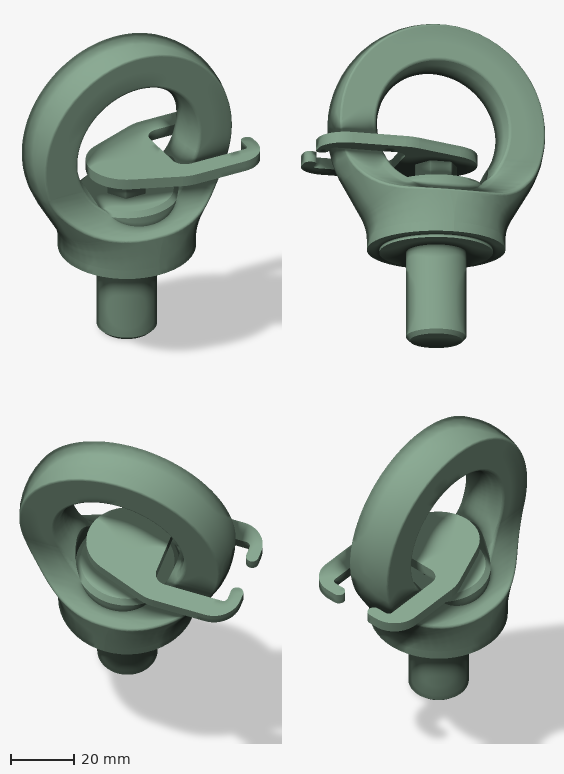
import cadquery as cq
import math


shank_diameter = 19.2
tip_chamfer = 1.2
flange_bottom_z = 29.0
flange_radius = 18.0
washer_radius = 16.5
washer_top_z = 50.6
washer_seat_z = 41.5
washer_chamfer = 1.6
hex_corner_radius = 6.9
hex_edge_fillet = 0.5

collar_bottom_z = 30.0
collar_top_z = 33.1
collar_radius = 22.0
neck_radius = 14.5

ring_top_z = 103.7
ring_outer_radius = 35.0
ring_center_z = ring_top_z - ring_outer_radius
ring_width = 16.1
ring_half_width = ring_width / 2
ring_edge_fillet = 0.7
eye_radius = 20.0
eye_mouth_radius = 22.1
eye_edge_fillet = 0.9

tolerance = 0.01

plate_bottom_z = 57.7
plate_thickness = 3.5
plate_width = 37.9
plate_half_width = plate_width / 2
plate_end_radius = 13.1
plate_back_y = 41.4
plate_corner_radius = 8.8
shoulder_y = 12.7
shoulder_fillet = 12.2
slot_half_width = 12.0
slot_floor_y = 12.4
slot_floor_radius = 4.4
hook_width = 4.0
hook_inner_radius = 1.5
hook_gap_half_width = 5.4

hollow_radius = 14.5
hollow_center_x = ring_half_width + hollow_radius
hollow_center_z = 58.7
hollow_end_x = 19.2


def polar(center, radius, angle):
    """Point at the given distance and angle (radians) from a centre."""
    return (center[0] + radius * math.cos(angle), center[1] + radius * math.sin(angle))


def make_neck():
    """Round section swept up one side of the collar until it is tangent to the ring."""
    ring_center = (0, ring_center_z)
    arc_center = (collar_radius + neck_radius, collar_top_z)
    run = arc_center[0] - ring_center[0]
    rise = arc_center[1] - ring_center[1]
    flank_normal = math.atan2(rise, run) + math.acos(
        (ring_outer_radius + neck_radius) / math.hypot(run, rise)
    )
    arc_end = polar(arc_center, -neck_radius, flank_normal)
    arc_middle = polar(arc_center, -neck_radius, flank_normal / 2)
    flank_end = polar(ring_center, ring_outer_radius, flank_normal)
    path = (
        cq.Workplane("YZ")
        .moveTo(collar_radius, collar_bottom_z)
        .lineTo(collar_radius, collar_top_z)
        .threePointArc(arc_middle, arc_end)
        .lineTo(*flank_end)
    )
    inner_y = -collar_radius / 2
    section = (
        cq.Workplane("XY", origin=(0, 0, collar_bottom_z))
        .moveTo(-collar_radius, inner_y)
        .lineTo(collar_radius, inner_y)
        .lineTo(collar_radius, 0)
        .threePointArc((0, collar_radius), (-collar_radius, 0))
        .close()
    )
    positive_y = cq.Workplane("XY").box(
        4 * collar_radius, 2 * ring_outer_radius, 2 * ring_top_z, centered=(True, False, True)
    )
    return section.sweep(path).intersect(positive_y)


def make_ring_blank():
    """Disc about the X axis whose rim has the same crown radius as the collar."""
    crown_center = ring_outer_radius - collar_radius
    return (
        cq.Workplane("XY", origin=(0, 0, ring_center_z))
        .moveTo(-collar_radius, 0)
        .lineTo(-collar_radius, crown_center)
        .threePointArc((0, ring_outer_radius), (collar_radius, crown_center))
        .lineTo(collar_radius, 0)
        .close()
        .revolve(360, (0, 0, 0), (1, 0, 0))
    )


def make_width_profile():
    """Outline that bounds the body across X: collar, sloped shoulders, hollow sides and ring faces."""
    hollow_center = (hollow_center_x, hollow_center_z)
    end_angle = math.pi + math.acos((hollow_center_x - hollow_end_x) / hollow_radius)
    hollow_end = polar(hollow_center, hollow_radius, end_angle)
    hollow_middle = polar(hollow_center, hollow_radius, (math.pi + end_angle) / 2)
    shoulder_drop = (collar_radius - hollow_end_x) / -math.tan(end_angle)
    half = (
        cq.Workplane("XZ")
        .moveTo(0, collar_bottom_z)
        .lineTo(collar_radius, collar_bottom_z)
        .lineTo(collar_radius, hollow_end[1] + shoulder_drop)
        .lineTo(*hollow_end)
        .threePointArc(hollow_middle, (ring_half_width, hollow_center_z))
        .lineTo(ring_half_width, ring_top_z)
        .lineTo(0, ring_top_z)
        .close()
        .extrude(2 * ring_outer_radius, both=True)
    )
    return half.union(half.mirror("YZ"))


def make_eye_cutter():
    """Eye opening about the X axis, narrowest in the middle and flaring to both faces."""
    return (
        cq.Workplane("XY", origin=(0, 0, ring_center_z))
        .moveTo(-collar_radius, 0)
        .lineTo(-collar_radius, eye_mouth_radius)
        .lineTo(-ring_half_width, eye_mouth_radius)
        .threePointArc((0, eye_radius), (ring_half_width, eye_mouth_radius))
        .lineTo(collar_radius, eye_mouth_radius)
        .lineTo(collar_radius, 0)
        .close()
        .revolve(360, (0, 0, 0), (1, 0, 0))
    )


def is_rim_edge(edge):
    """True for edges where a ring face, hollow or shoulder meets the rim or the eye."""
    box = edge.BoundingBox()
    on_one_side = box.xmin * box.xmax > 0
    above_neck_start = box.zmin > collar_top_z + tolerance
    inside_collar_side = max(-box.xmin, box.xmax) < collar_radius - tolerance
    between_side_faces = edge.geomType() == "LINE" and inside_collar_side
    return on_one_side and above_neck_start and not between_side_faces


def distance_from_eye_axis(edge):
    middle = edge.positionAt(0.5)
    return math.hypot(middle.y, middle.z - ring_center_z)


def is_seat_edge(edge):
    """True for rim edges where the washer seat breaks into the hollows below the eye."""
    middle = edge.positionAt(0.5)
    near_bolt_axis = math.hypot(middle.x, middle.y) < washer_radius + tolerance
    return is_rim_edge(edge) and middle.z < ring_center_z and near_bolt_axis


def is_eye_edge(edge):
    """True for rim edges around the mouth of the eye."""
    at_mouth = distance_from_eye_axis(edge) < eye_mouth_radius + tolerance
    return is_rim_edge(edge) and at_mouth and not is_seat_edge(edge)


def is_outer_edge(edge):
    """True for rim edges around the outside of the ring, neck and collar."""
    at_mouth = distance_from_eye_axis(edge) < eye_mouth_radius + tolerance
    return is_rim_edge(edge) and not at_mouth and not is_seat_edge(edge)


def make_body():
    """Ring and collar in one piece, with the eye, the washer seat and rounded rim edges."""
    neck = make_neck()
    body = neck.union(neck.mirror("XZ")).union(make_ring_blank())
    body = body.intersect(make_width_profile())
    body = body.cut(make_eye_cutter())
    washer_seat = (
        cq.Workplane("XY", origin=(0, 0, washer_seat_z))
        .circle(washer_radius)
        .extrude(ring_center_z - washer_seat_z)
    )
    body = body.cut(washer_seat)
    body = body.edges().filter(is_outer_edge).fillet(ring_edge_fillet)
    return body.edges().filter(is_eye_edge).fillet(eye_edge_fillet)


def make_bolt():
    """Shank with chamfered tip, flange under the collar, washer and hex on top."""
    shank = cq.Workplane("XY").circle(shank_diameter / 2).extrude(washer_top_z)
    shank = shank.faces("<Z").chamfer(tip_chamfer)
    flange = (
        cq.Workplane("XY", origin=(0, 0, flange_bottom_z))
        .circle(flange_radius)
        .extrude(collar_bottom_z - flange_bottom_z)
    )
    washer = (
        cq.Workplane("XY", origin=(0, 0, collar_bottom_z))
        .circle(washer_radius)
        .extrude(washer_top_z - collar_bottom_z)
        .faces(">Z")
        .chamfer(washer_chamfer)
    )
    hexagon = (
        cq.Workplane("XY", origin=(0, 0, washer_top_z))
        .transformed(rotate=(0, 0, 90))
        .polygon(6, 2 * hex_corner_radius)
        .extrude(plate_bottom_z - washer_top_z)
        .edges("|Z")
        .fillet(hex_edge_fillet)
    )
    return shank.union(flange).union(washer).union(hexagon)


def make_plate():
    """Key plate: round end, tapered shoulders and two arms with inward hooks."""
    shoulder_distance = math.hypot(plate_half_width, shoulder_y)
    tangent_angle = math.atan2(shoulder_y, plate_half_width) - math.acos(
        plate_end_radius / shoulder_distance
    )
    tangent_x, tangent_y = polar((0, 0), plate_end_radius, tangent_angle)
    plane = cq.Workplane("XY", origin=(0, 0, plate_bottom_z))
    outline = (
        plane.moveTo(-tangent_x, tangent_y)
        .threePointArc((0, -plate_end_radius), (tangent_x, tangent_y))
        .lineTo(plate_half_width, shoulder_y)
        .lineTo(plate_half_width, plate_back_y)
        .lineTo(-plate_half_width, plate_back_y)
        .lineTo(-plate_half_width, shoulder_y)
        .close()
        .extrude(plate_thickness)
    )
    outline = outline.edges("|Z and >Y").fillet(plate_corner_radius)
    shoulder_band = cq.selectors.BoxSelector(
        (-2 * plate_half_width, shoulder_y - tolerance, 0),
        (2 * plate_half_width, shoulder_y + tolerance, ring_top_z),
    )
    outline = outline.edges("|Z").edges(shoulder_band).fillet(shoulder_fillet)

    slot_back_y = plate_back_y - hook_width
    slot = (
        plane.center(0, (slot_floor_y + slot_back_y) / 2)
        .rect(2 * slot_half_width, slot_back_y - slot_floor_y)
        .extrude(plate_thickness)
    )
    slot = slot.edges("|Z and <Y").fillet(slot_floor_radius)
    slot = slot.edges("|Z and >Y").fillet(hook_inner_radius)

    hook_tip_radius = hook_width / 2
    hook_mid_y = plate_back_y - hook_tip_radius
    gap_half = hook_gap_half_width + hook_tip_radius
    gap = plane.center(0, hook_mid_y).rect(2 * gap_half, hook_width).extrude(plate_thickness)
    hook_tips = (
        plane.pushPoints([(-gap_half, hook_mid_y), (gap_half, hook_mid_y)])
        .circle(hook_tip_radius)
        .extrude(plate_thickness)
    )
    return outline.cut(slot).cut(gap.cut(hook_tips))


result = make_body().union(make_bolt()).union(make_plate())